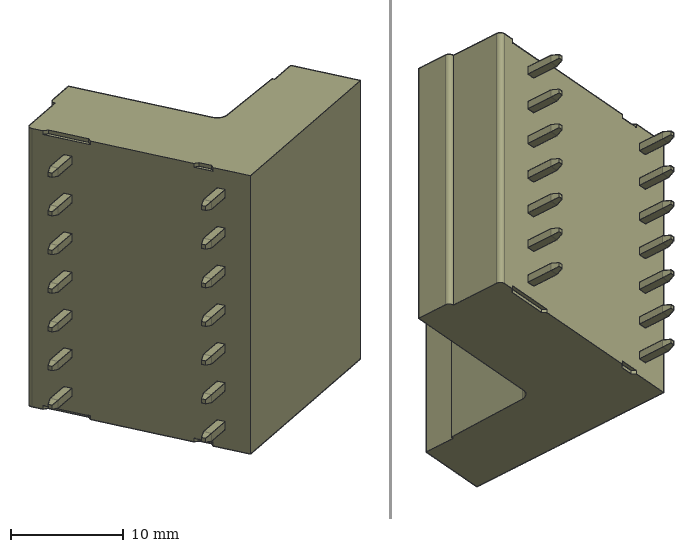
import cadquery as cq

width = 22.7
total_depth = 25.4
height = 27.45
pin_length = 3.51
body_depth = total_depth - pin_length

foot_depth = 9.23
foot_setback = 0.5
edge_radius = foot_setback
lip_bottom = 5.57
tower_width = 6.95
tower_x = width - tower_width
shoulder_y = 18.7
shoulder_width = 0.25
tower_draft = 0.27
shoulder_x = tower_x - shoulder_width
inner_corner_x = shoulder_x - tower_draft
inner_corner_fillet = 1.0

notch_depth = 0.35
notch_height = 0.35
notch_spans = [(2.1, 6.8), (17.08, 19.0)]

pin_count = 7
pin_row_length = 22.87
pin_pitch = pin_row_length / (pin_count - 1)
pin_width = 0.8
pin_first_x = 4.55
pin_column_gap = 15.25
pin_tip_length = 0.8
pin_tip_width = 0.4
pin_first_z = (height - pin_row_length) / 2


def make_body():
    """Extrude the L-shaped outline and round its long edges."""
    outline = [
        (foot_setback, 0),
        (width, 0),
        (width, body_depth),
        (tower_x, body_depth),
        (tower_x, shoulder_y),
        (shoulder_x, shoulder_y),
        (inner_corner_x, foot_depth),
        (0, foot_depth),
        (0, lip_bottom + edge_radius),
    ]
    body = (
        cq.Workplane("XY")
        .polyline(outline)
        .radiusArc((foot_setback, lip_bottom), -edge_radius)
        .close()
        .extrude(height)
    )
    body = body.edges(cq.NearestToPointSelector((foot_setback, 0, height / 2))).fillet(edge_radius)
    inner_corner = (inner_corner_x, foot_depth, height / 2)
    return body.edges(cq.NearestToPointSelector(inner_corner)).fillet(inner_corner_fillet)


def make_notch(start_x, end_x, base_z):
    """Trapezoidal notch with 45 degree ends, open to the mounting face."""
    return (
        cq.Workplane("XY", origin=(0, 0, base_z))
        .polyline([
            (start_x, 0),
            (end_x, 0),
            (end_x - notch_depth, notch_depth),
            (start_x + notch_depth, notch_depth),
        ])
        .close()
        .extrude(notch_height)
    )


def make_pin(x, z):
    """Square pin pointing to -Y with a tapered tip."""
    shank_length = pin_length - pin_tip_length
    shank = cq.Workplane("XZ", origin=(x, 0, z)).rect(pin_width, pin_width).extrude(shank_length)
    tip = (
        cq.Workplane("XZ", origin=(x, -shank_length, z))
        .rect(pin_width, pin_width)
        .workplane(offset=pin_tip_length)
        .rect(pin_tip_width, pin_tip_width)
        .loft()
    )
    return shank.union(tip)


result = make_body()

for span_start, span_end in notch_spans:
    for notch_base in (0, height - notch_height):
        result = result.cut(make_notch(span_start, span_end, notch_base))

for pin_x in (pin_first_x, pin_first_x + pin_column_gap):
    for row in range(pin_count):
        result = result.union(make_pin(pin_x, pin_first_z + row * pin_pitch))